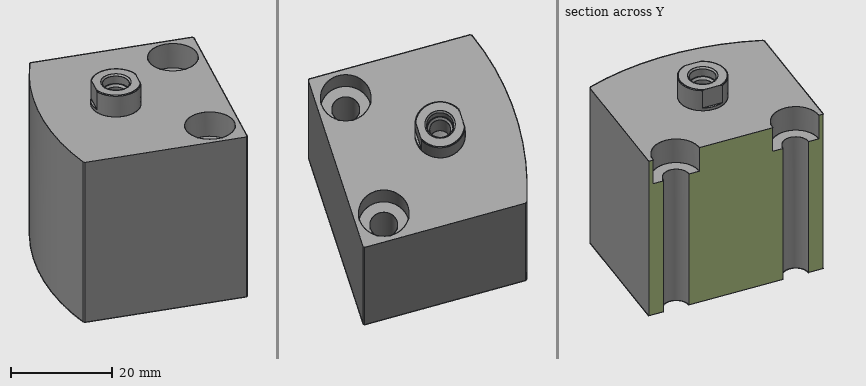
import cadquery as cq
import math

total_height = 42.5
rod_projection = 5.0
housing_height = total_height - rod_projection
housing_width = 38.0
back_y = 21.5
front_y = -15.5
front_radius = 55.0
corner_chamfer = 0.25

mount_spacing = 26.0
mount_inset = 6.0
mount_diameter = 5.5
counterbore_diameter = 10.0
counterbore_depth = 5.7

rod_diameter = 10.0
rod_seat_depth = 12.75
rod_edge_chamfer = 0.15
flat_spacing = 9.0
flat_start = 0.7

mouth_diameter = 6.0
countersink_angle = 90.0
entry_diameter = 5.3
entry_depth = 2.1
step_diameter = 5.0
drill_diameter = 4.12
drill_depth = 7.65
drill_point_angle = 118.0


def make_housing():
    half_width = housing_width / 2
    front_sagitta = front_radius - math.sqrt(front_radius**2 - half_width**2)
    front_corner_y = front_y + front_sagitta
    block = (
        cq.Workplane("XY")
        .moveTo(-half_width, back_y)
        .lineTo(-half_width, front_corner_y)
        .threePointArc((0, front_y), (half_width, front_corner_y))
        .lineTo(half_width, back_y)
        .close()
        .extrude(housing_height)
        .edges("|Z")
        .chamfer(corner_chamfer)
    )
    top = block.faces(">Z").workplane(origin=(0, 0, housing_height))
    mount_y = back_y - mount_inset
    mount_points = [(side * mount_spacing / 2, mount_y) for side in (-1, 1)]
    block = top.pushPoints(mount_points).cboreHole(
        mount_diameter, counterbore_diameter, counterbore_depth
    )
    rod_seat = (
        cq.Workplane("XY", origin=(0, 0, housing_height - rod_seat_depth))
        .circle(rod_diameter / 2)
        .extrude(rod_seat_depth)
    )
    return block.cut(rod_seat)


def cone_height(large_radius, small_radius, included_angle):
    return (large_radius - small_radius) / math.tan(math.radians(included_angle / 2))


def make_rod_hole():
    """Revolved void: countersunk mouth, entry bore, ledge with conical step, drilling, conical bottom."""
    mouth_radius = mouth_diameter / 2
    entry_radius = entry_diameter / 2
    step_radius = step_diameter / 2
    drill_radius = drill_diameter / 2
    mouth_bottom_z = total_height - cone_height(mouth_radius, entry_radius, countersink_angle)
    entry_bottom_z = total_height - entry_depth
    step_bottom_z = entry_bottom_z - cone_height(step_radius, drill_radius, countersink_angle)
    drill_bottom_z = total_height - drill_depth
    tip_z = drill_bottom_z - cone_height(drill_radius, 0, drill_point_angle)
    return (
        cq.Workplane("XZ")
        .moveTo(0, total_height)
        .lineTo(mouth_radius, total_height)
        .lineTo(entry_radius, mouth_bottom_z)
        .lineTo(entry_radius, entry_bottom_z)
        .lineTo(step_radius, entry_bottom_z)
        .lineTo(drill_radius, step_bottom_z)
        .lineTo(drill_radius, drill_bottom_z)
        .lineTo(0, tip_z)
        .close()
        .revolve(360, (0, 0, 0), (0, 1, 0))
    )


def make_rod():
    rod = (
        cq.Workplane("XY", origin=(0, 0, housing_height - rod_seat_depth))
        .circle(rod_diameter / 2)
        .extrude(rod_seat_depth + rod_projection)
        .faces(">Z")
        .edges()
        .chamfer(rod_edge_chamfer)
    )
    flat_height = rod_projection - flat_start
    for side in (-1, 1):
        flat_cut = (
            cq.Workplane("XY", origin=(0, 0, housing_height + flat_start))
            .center(0, side * (flat_spacing + rod_diameter) / 2)
            .rect(rod_diameter, rod_diameter)
            .extrude(flat_height)
        )
        rod = rod.cut(flat_cut)
    return rod.cut(make_rod_hole())


housing = make_housing()
rod = make_rod()
result = cq.Compound.makeCompound([housing.val(), rod.val()])